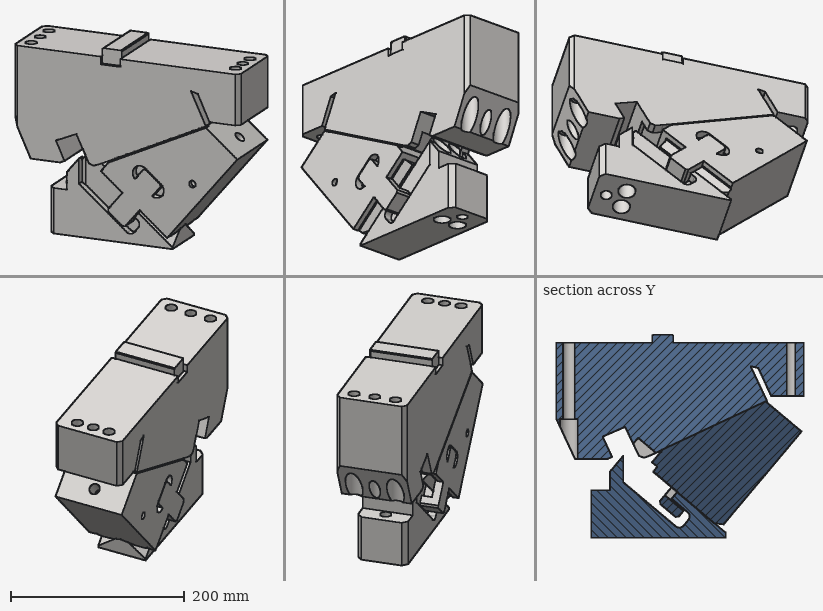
import cadquery as cq
import math

total_height = 234.0
block_length = 285.0
block_width = 85.0
block_top = 225.0
edge_chamfer = 4.8

driver_angle = math.radians(40)
work_angle = math.radians(25)
roof_angle = math.radians(30)

driver_width = 60.7
half_driver = driver_width / 2
half_block = block_width / 2

guide_x = 81.8
guide_z = 97.5
along_axis = (math.cos(driver_angle), 0, -math.sin(driver_angle))


def guide_plane(y=0.0):
    """Plane of the guide outlines: local x along the guide, local y above it, facing -Y."""
    return cq.Plane(origin=(guide_x, y, guide_z), xDir=along_axis, normal=(0, -1, 0))


def guide_section(along):
    """Plane across the guide: local x is Y, local y is the height above the guide."""
    start = (guide_x + along * along_axis[0], 0, guide_z + along * along_axis[2])
    return cq.Plane(origin=start, xDir=(0, 1, 0), normal=along_axis)


def from_guide(along, height):
    """X and Z of a place given by its distance along and height above the guide."""
    x = guide_x + along * math.cos(driver_angle) + height * math.sin(driver_angle)
    z = guide_z - along * math.sin(driver_angle) + height * math.cos(driver_angle)
    return (x, z)


def plate(outline, y_low, y_high):
    """Outline in the guide frame, made solid between two Y values."""
    return cq.Workplane(guide_plane(y_high)).polyline(outline).close().extrude(y_high - y_low)


def guide_box(start, end, low, high, y_low, y_high):
    """Box in the guide frame between two Y values."""
    return plate([(start, low), (end, low), (end, high), (start, high)], y_low, y_high)


def end_edges(box, last):
    """Edges along Y on the last (or first) end face of a box in the guide frame."""
    end_face = cq.selectors.DirectionMinMaxSelector(cq.Vector(*along_axis), last)
    return box.faces(end_face).edges("|Y")


def both_sides(shape):
    """A -Y side detail together with its copy on the +Y side."""
    return shape.union(shape.mirror("XZ"))


def upright_hole(x, y, radius, z_low, z_high):
    return cq.Workplane("XY", origin=(x, y, z_low)).circle(radius).extrude(z_high - z_low)


roof_rise = half_driver * math.tan(roof_angle)
guide_start = -1.7
far = 171.0


def roof_height(y):
    return (half_driver - y) * math.tan(roof_angle)


nose_x = 21.7
nose_z = 90.5
front_corner_z = nose_z + nose_x / math.tan(work_angle)
rear_foot_z = 163.3
work_start_x = 110.3
work_start_z = 95.8
work_end_x = 242.8
key_left = 110.3
key_right = 134.8
key_floor = 215.5
key_length = 75.8
key_chamfer = 1.0

front_hole_x = 14.5
front_hole_pitch = 25.0
rear_hole_x = 270.2
rear_hole_pitch = 20.2
screw_radius = 6.7
dowel_radius = 6.4
counterbore_radius = 10.0
counterbore_top = 136.8
channel_side_gap = 0.5
channel_top_gap = 4.0


def work_face_z(x):
    return work_start_z + (x - work_start_x) * math.tan(work_angle)


def holder_blank():
    outline = [
        (0, block_top),
        (0, front_corner_z),
        (nose_x, nose_z),
        (58.7, nose_z),
        (64.5, 93.2),
        (53.5, 116.5),
        (79.2, 127.7),
        (95.2, 94.3),
        (101.2, 92.0),
        (work_start_x, work_start_z),
        (work_end_x, work_face_z(work_end_x)),
        (224.0, 197.5),
        (232.5, 195.5),
        (247.5, rear_foot_z),
        (block_length, rear_foot_z),
        (block_length, block_top),
    ]
    blank = cq.Workplane("XZ", origin=(0, half_block, 0)).polyline(outline).close().extrude(block_width)
    corners = blank.edges("|Z").edges("<X or >X")
    return corners.chamfer(edge_chamfer)


def holder_holes():
    """Two screw holes and a middle dowel hole at each end; the front screws are counterbored."""
    holes = upright_hole(front_hole_x, 0, dowel_radius, 0, block_top)
    holes = holes.union(upright_hole(rear_hole_x, 0, dowel_radius, 0, block_top))
    for side in (-1, 1):
        front_y = side * front_hole_pitch
        holes = holes.union(upright_hole(front_hole_x, front_y, screw_radius, 0, block_top))
        holes = holes.union(upright_hole(front_hole_x, front_y, counterbore_radius, 0, counterbore_top))
        holes = holes.union(upright_hole(rear_hole_x, side * rear_hole_pitch, screw_radius, 0, block_top))
    return holes


def key_slot():
    depth = block_top - key_floor
    slot = cq.Workplane("XY").box(key_right - key_left, block_width, depth, centered=(True, True, False))
    return slot.translate(((key_left + key_right) / 2, 0, key_floor))


def key_bar():
    """Raised cross key with chamfered long top edges and one chamfered upright corner."""
    height = total_height - key_floor
    bar = cq.Workplane("XY").box(key_right - key_left, key_length, height, centered=(True, True, False))
    bar = bar.edges("|Y and >Z").chamfer(key_chamfer)
    bar = bar.edges("|Z and <X and >Y").chamfer(key_chamfer)
    return bar.translate(((key_left + key_right) / 2, 0, key_floor))


def ridge_channel():
    """Straight channel through the block nose that clears the ridge of the driver."""
    half_channel = half_driver + channel_side_gap
    top = roof_rise + channel_top_gap
    return guide_box(guide_start, far, 0, top, -half_channel, half_channel)


def build_holder():
    holder = holder_blank().cut(holder_holes()).cut(key_slot())
    return holder.cut(ridge_channel()).union(key_bar())


driver_left = 39.3
driver_right = 195.2
driver_step_x = 61.8
driver_step_z = 55.0
driver_chamfer = 6.0
driver_dowel_x = 54.5
driver_screw_x = 75.8
driver_screw_pitch = 12.0
pocket_left = 77.2
pocket_floor_y = 20.2
pocket_end = 103.2
pocket_bottom = -28.5
pocket_radius = 6.3
lip_bottom = -7.5
lip_start = 72.7


def driver_blank():
    """Stepped block with the ridge line of the guide as its top."""
    guide_end_x, guide_end_z = from_guide(guide_start, 0)
    shoulder_z = guide_end_z - (guide_end_x - driver_step_x) / math.tan(driver_angle)
    ridge_x, ridge_z = from_guide(guide_start, roof_rise)
    ridge_end_z = ridge_z - (driver_right - ridge_x) * math.tan(driver_angle)
    outline = [
        (driver_left, 0),
        (driver_right, 0),
        (driver_right, ridge_end_z),
        (ridge_x, ridge_z),
        (driver_step_x, shoulder_z),
        (driver_step_x, driver_step_z),
        (driver_left, driver_step_z),
    ]
    blank = cq.Workplane("XZ", origin=(0, half_driver, 0)).polyline(outline).close().extrude(driver_width)
    return blank.edges("|Z and <X").chamfer(driver_chamfer)


def roof_flanks():
    """Material above the two flanks of the guide roof."""
    triangle = [(-half_driver, 0), (0, roof_rise), (-half_driver, roof_rise)]
    flank = cq.Workplane(guide_section(-far)).polyline(triangle).close().extrude(2 * far)
    return both_sides(flank)


def hook_pockets():
    """Side recesses running under the guide lips, open at the top ahead of the lips."""
    under_lip = guide_box(-far, pocket_end, pocket_bottom, lip_bottom, -half_block, -pocket_floor_y)
    under_lip = end_edges(under_lip, True).fillet(pocket_radius)
    entry = guide_box(-far, lip_start, lip_bottom, roof_rise, -half_block, -pocket_floor_y)
    limit = cq.Workplane("XY").box(far, block_width, total_height, centered=(False, True, False))
    limit = limit.translate((pocket_left, 0, 0))
    return both_sides(under_lip.union(entry).intersect(limit))


def driver_holes():
    holes = upright_hole(driver_dowel_x, 0, dowel_radius, 0, total_height)
    for side in (-1, 1):
        screw_y = side * driver_screw_pitch
        holes = holes.union(upright_hole(driver_screw_x, screw_y, counterbore_radius, 0, total_height))
    return holes


def build_driver():
    return driver_blank().cut(roof_flanks()).cut(hook_pockets()).cut(driver_holes())


slide_start = 28.5
slide_end = 137.7
slide_bottom = 10.3
slide_front = 148.2
slide_gap = 1.7
rib_width = 68.5
rail_start = 36.5
rail_outer_y = 35.5
rail_step_y = 32.2
rail_foot_y = 25.6
rail_end_run = 8.8
rail_end_rise = 5.7

hook_start = 64.0
hook_end = 92.3
hook_top = 53.3
hook_bottom = -20.5
hook_chamfer = 2.5
hook_inner_y = 32.8
toe_top = -9.0
seat_start = 55.3
seat_end = 100.5
seat_centre = 44.5
seat_radius = 9.7

side_hole_x = 225.7
side_hole_z = 85.8
side_hole_radius = 4.13
side_hole_depth = 5.7
drill_point = math.radians(118)
front_hole_along = 116.8
front_hole_radius = 6.3
front_hole_depth = 22.8


def below_work_face(gap, width):
    """Everything below the holder work face, lowered by a gap square to it."""
    drop = gap / math.cos(work_angle)
    outline = [
        (0, 0),
        (2 * block_length, 0),
        (2 * block_length, work_face_z(2 * block_length) - drop),
        (0, work_face_z(0) - drop),
    ]
    return cq.Workplane("XZ", origin=(0, width / 2, 0)).polyline(outline).close().extrude(width)


def slide_blank():
    foot = roof_height(rail_foot_y)
    outline = [
        (slide_start, slide_bottom),
        (rail_start, slide_bottom),
        (rail_start, foot),
        (slide_end - rail_end_run, foot),
        (slide_end, foot + rail_end_rise),
        (slide_end, slide_front),
        (slide_start, slide_front),
    ]
    blank = plate(outline, -half_block, half_block)
    sides = blank.intersect(below_work_face(slide_gap, block_width))
    rib = blank.intersect(below_work_face(0, rib_width))
    return sides.union(rib)


def roof_groove():
    """V groove that fits the driver roof, along the whole underside."""
    flank_y = half_driver + far
    profile = [(-flank_y, roof_height(flank_y)), (0, roof_rise), (flank_y, roof_height(flank_y))]
    return cq.Workplane(guide_section(0)).polyline(profile).close().extrude(far)


def rail_reliefs():
    """Cuts outside the two rails: a flat underside and a tilted step beside each rail."""
    step_height = slide_bottom + (rail_outer_y - rail_step_y) * math.tan(roof_angle)
    profile = [
        (-half_block, slide_bottom),
        (-rail_outer_y, slide_bottom),
        (-rail_step_y, step_height),
        (-rail_foot_y, roof_height(rail_foot_y)),
        (-half_block, roof_height(rail_foot_y)),
    ]
    relief = cq.Workplane(guide_section(rail_start)).polyline(profile).close().extrude(far)
    return both_sides(relief)


def hook_seats():
    """Round-ended side pockets around the upper ends of the hooks."""
    length = seat_end - seat_start
    plane = cq.Workplane(guide_plane(-hook_inner_y))
    seat = plane.center((seat_start + seat_end) / 2, seat_centre).slot2D(length, 2 * seat_radius)
    return both_sides(seat.extrude(half_block - hook_inner_y))


def hooks():
    """Side straps whose inward toes reach under the driver lips."""
    strap = guide_box(hook_start, hook_end, hook_bottom, hook_top, -half_block, -hook_inner_y)
    toe = guide_box(hook_start, hook_end, hook_bottom, toe_top, -hook_inner_y, -pocket_floor_y)
    hook = strap.union(toe)
    envelope = guide_box(hook_start, hook_end, hook_bottom, hook_top, -half_block, -pocket_floor_y)
    for last in (True, False):
        envelope = end_edges(envelope, last).chamfer(hook_chamfer)
    return both_sides(hook.intersect(envelope))


def side_holes():
    """Shallow drilled holes with a conical bottom, one in each side face."""
    point_depth = side_hole_radius / math.tan(drill_point / 2)
    profile = [
        (0, 0),
        (side_hole_radius, 0),
        (side_hole_radius, side_hole_depth),
        (0, side_hole_depth + point_depth),
    ]
    hole = cq.Workplane("XY").polyline(profile).close().revolve(360, (0, 0, 0), (0, 1, 0))
    return both_sides(hole.translate((side_hole_x, -half_block, side_hole_z)))


def front_hole():
    x, z = from_guide(front_hole_along, slide_front - front_hole_depth)
    plane = cq.Plane(origin=(x, 0, z), xDir=along_axis, normal=guide_plane().yDir.toTuple())
    return cq.Workplane(plane).circle(front_hole_radius).extrude(front_hole_depth)


def build_slide():
    slide = slide_blank().cut(roof_groove()).cut(rail_reliefs())
    slide = slide.cut(hook_seats()).cut(side_holes()).cut(front_hole())
    return slide.union(hooks())


holder = build_holder().solids()
driver = build_driver().solids()
slide = build_slide().solids()
result = cq.Compound.makeCompound([holder.val(), driver.val(), slide.val()])